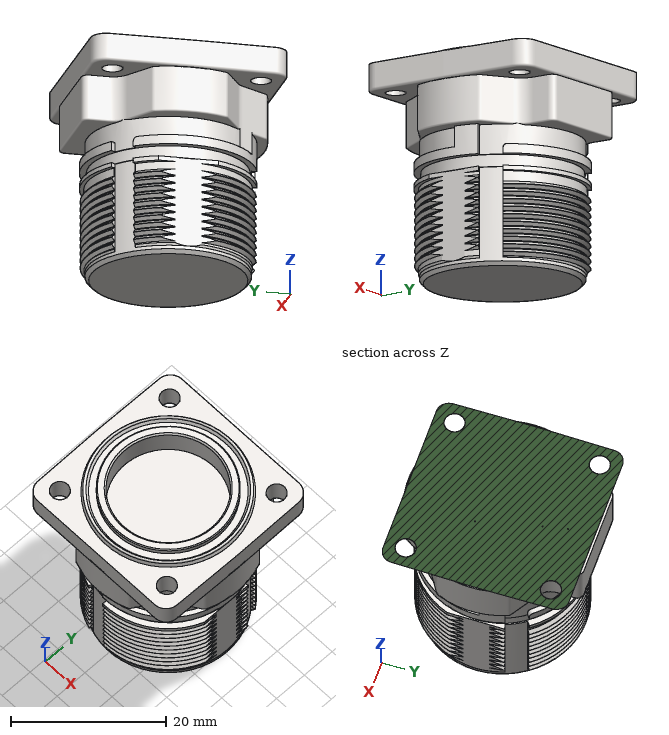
import cadquery as cq
import math

CORE_CHAMFER = 0.5
SLEEVE_BOTTOM = 0.97
THREAD_START = 1.73
COLLAR_BOTTOM = 12.4
COLLAR_TOP = 13.0
RING_BOTTOM = 14.65
RING_TOP = 15.88
BODY_BOTTOM = 18.6
FLANGE_BOTTOM = 24.75
FLANGE_TOP = 28.43
BEAD_TOP = 29.15
OVERALL_HEIGHT = 29.4
BORE_FLOOR = 25.5

CORE_RADIUS = 10.75
GROOVE_RADIUS = 10.58
THREAD_ROOT_RADIUS = 10.9
THREAD_CREST_RADIUS = 11.38
RING_RADIUS = 11.47
BODY_RADIUS = 12.85
BORE_RADIUS = 8.03
BORE_CHAMFER = 0.24

PITCH = 1.0
CREST_FLAT = 0.05
THREAD_START_ANGLE = 90.0
THREAD_TURNS = 10
SLEEVE_CHAMFER_HEIGHT = 0.32
RIDGE_HALF_WIDTH = 0.49 * PITCH
RIDGE_SINK = 0.05

FLANGE_SIZE = 26.0
FLANGE_TAPER = 0.15
FLANGE_CORNER = 2.05
FLANGE_EDGE_ROUND = 0.35
HOLE_SPACING = 19.75
HOLE_DIAMETER = 2.7

NOTCH_TILT = 13.0
NOTCH_ANGLES = (225.0, 315.0)
NOTCH_VERTEX_ROUND = 2.2
NOTCH_RIM_ROUND = 0.74
BODY_EDGE_ROUND = 0.24

LUG_HALF_WIDTH = 6.67
LUG_CORNER_ROUND = 0.88
LUG_NOTCH_ROUND = 2.53
LUG_TRIM = 0.88

BEAD_BASE_RADIUS = 11.25
BEAD_CREST_RADIUS = 10.82
BEAD_ROUND = 0.2
BEAD_INNER_RADIUS = 10.3
RECESS_FLOOR = 28.55
LIP_RADIUS = 9.3
LIP_CHAMFER = 0.15

FULL_TURN = 360.0
SLOTS = [(20.0, 36.0), (126.3, 142.8), (252.0, 268.1)]
STOPS = [(225.0, 252.0), (3.0, 20.0)]
RING_END_ROUND = 0.6

REACH = 20.58


def cylinder(radius, bottom, top):
    return cq.Workplane("XY").workplane(offset=bottom).circle(radius).extrude(top - bottom)


def tube(outer, inner, bottom, top):
    return cylinder(outer, bottom, top).cut(cylinder(inner, bottom, top))


def wedge(start, end, bottom, top):
    """Pie slice about Z between two angles."""
    points = [(0, 0)]
    for angle in (start, end):
        turn = math.radians(angle)
        points.append((REACH * math.cos(turn), REACH * math.sin(turn)))
    return cq.Workplane("XY").workplane(offset=bottom).polyline(points).close().extrude(top - bottom)


def corner_notch(angle):
    """Shallow V prism whose rounded vertex touches the core."""
    rise = REACH * math.tan(math.radians(NOTCH_TILT))
    vee = (
        cq.Workplane("XY")
        .workplane(offset=RING_TOP)
        .polyline([
            (CORE_RADIUS, 0),
            (CORE_RADIUS + rise, REACH),
            (CORE_RADIUS + REACH, REACH),
            (CORE_RADIUS + REACH, -REACH),
            (CORE_RADIUS + rise, -REACH),
        ])
        .close()
        .extrude(FLANGE_BOTTOM - RING_TOP)
        .edges("|Z and <X")
        .fillet(NOTCH_VERTEX_ROUND)
    )
    return vee.rotate((0, 0, 0), (0, 0, 1), angle)


def lug_notch():
    """Notch on the +X side of the lug: a face like those of the V notches, then the side of the lug."""
    slope = math.tan(math.radians(45 - NOTCH_TILT))
    touch = CORE_RADIUS / math.sqrt(2)
    vertex_y = touch + (touch - LUG_HALF_WIDTH) * slope
    return (
        cq.Workplane("XY")
        .workplane(offset=BODY_BOTTOM)
        .polyline([
            (LUG_HALF_WIDTH, vertex_y),
            (LUG_HALF_WIDTH + REACH, vertex_y - REACH * slope),
            (LUG_HALF_WIDTH + REACH, REACH),
            (LUG_HALF_WIDTH, REACH),
        ])
        .close()
        .extrude(FLANGE_BOTTOM - BODY_BOTTOM)
        .edges("|Z")
        .edges(cq.selectors.NearestToPointSelector((LUG_HALF_WIDTH, vertex_y, BODY_BOTTOM)))
        .fillet(LUG_NOTCH_ROUND)
    )


def make_core():
    core = cylinder(CORE_RADIUS, 0, FLANGE_BOTTOM).faces("<Z").chamfer(CORE_CHAMFER)
    return core.cut(tube(REACH, GROOVE_RADIUS, COLLAR_TOP, RING_BOTTOM))


def thread_ridge(start, end):
    """Thread ridge between two angles, starting at height zero and sunk into the root cylinder."""
    inner = THREAD_ROOT_RADIUS - RIDGE_SINK
    path = cq.Wire.makeHelix(PITCH, PITCH * (end - start) / FULL_TURN, inner)
    profile = (
        cq.Workplane("XZ")
        .polyline([
            (inner, -RIDGE_HALF_WIDTH),
            (THREAD_CREST_RADIUS, -CREST_FLAT / 2),
            (THREAD_CREST_RADIUS, CREST_FLAT / 2),
            (inner, RIDGE_HALF_WIDTH),
        ])
        .close()
    )
    return profile.sweep(cq.Workplane(path), isFrenet=True).rotate((0, 0, 0), (0, 0, 1), start)


def sleeve_sector(start, end):
    """Threaded stretch of the sleeve from one slot to the next, with the X sides cut flat."""
    flats = cq.Workplane("XY").box(2 * CORE_RADIUS, 2 * REACH, 2 * OVERALL_HEIGHT)
    envelope = flats.intersect(wedge(start, end, SLEEVE_BOTTOM, COLLAR_TOP))
    sleeve = (
        cylinder(THREAD_ROOT_RADIUS, SLEEVE_BOTTOM, COLLAR_TOP)
        .faces("<Z")
        .chamfer(SLEEVE_CHAMFER_HEIGHT, THREAD_ROOT_RADIUS - CORE_RADIUS)
        .union(cylinder(RING_RADIUS, COLLAR_BOTTOM, COLLAR_TOP))
        .cut(cylinder(GROOVE_RADIUS, SLEEVE_BOTTOM, COLLAR_TOP))
        .intersect(envelope)
    )
    rise = PITCH * (start - THREAD_START_ANGLE) / FULL_TURN
    ridge = thread_ridge(start, end).intersect(flats)
    ridges = [ridge.translate((0, 0, THREAD_START + rise + PITCH * i)).val() for i in range(THREAD_TURNS)]
    return cq.Workplane(sleeve.val().fuse(*ridges))


def make_locking_ring():
    """Bayonet ring: each stretch starts with a rounded end, and some finish against a tall stop."""
    middle = (GROOVE_RADIUS + RING_RADIUS) / 2
    ring = tube(RING_RADIUS, GROOVE_RADIUS, RING_BOTTOM, RING_TOP)
    for slot_start, slot_end in SLOTS:
        ring = ring.cut(wedge(slot_start, slot_end, RING_BOTTOM, RING_TOP))
        turn = math.radians(slot_end)
        start_edge = (middle * math.cos(turn), middle * math.sin(turn), RING_TOP)
        ring = ring.edges(cq.selectors.NearestToPointSelector(start_edge)).fillet(RING_END_ROUND)
    stop_top = BODY_BOTTOM + BODY_EDGE_ROUND
    post = tube(RING_RADIUS, GROOVE_RADIUS, RING_BOTTOM, stop_top)
    for start, end in STOPS:
        ring = ring.union(post.intersect(wedge(start, end, RING_BOTTOM, stop_top)))
    return ring.cut(corner_notch(NOTCH_ANGLES[0]))


def on_rim(edge):
    """True for the upright edges where a notch meets the outside of the body."""
    center = edge.Center()
    return math.isclose(math.hypot(center.x, center.y), BODY_RADIUS, abs_tol=0.003)


def make_body():
    height = FLANGE_BOTTOM - BODY_BOTTOM
    lug = (
        cq.Workplane("XY")
        .box(2 * (LUG_HALF_WIDTH + LUG_TRIM), FLANGE_SIZE / 2, height, centered=(True, False, False))
        .translate((0, 0, BODY_BOTTOM))
    )
    body = cylinder(BODY_RADIUS, BODY_BOTTOM, FLANGE_BOTTOM).rotate((0, 0, 0), (0, 0, 1), 45)
    body = body.union(lug)
    for angle in NOTCH_ANGLES:
        body = body.cut(corner_notch(angle))
    body = body.cut(lug_notch()).cut(lug_notch().mirror("YZ"))
    body = body.edges("|Z").filter(on_rim).fillet(NOTCH_RIM_ROUND)
    body = body.edges("|Z and >Y").fillet(LUG_CORNER_ROUND)
    return body.faces("<Z").edges().fillet(BODY_EDGE_ROUND)


def make_flange():
    half = FLANGE_SIZE / 2
    thickness = FLANGE_TOP - FLANGE_BOTTOM
    plate = (
        cq.Workplane("XY")
        .workplane(offset=FLANGE_BOTTOM)
        .polyline([
            (half, 0),
            (half - FLANGE_TAPER, half),
            (FLANGE_TAPER - half, half),
            (-half, 0),
            (FLANGE_TAPER - half, -half),
            (half - FLANGE_TAPER, -half),
        ])
        .close()
        .extrude(thickness)
        .edges("|Z and (>Y or <Y)")
        .fillet(FLANGE_CORNER)
        .faces("<Z")
        .edges()
        .fillet(FLANGE_EDGE_ROUND)
    )
    holes = (
        cq.Workplane("XY")
        .workplane(offset=FLANGE_BOTTOM)
        .rect(HOLE_SPACING, HOLE_SPACING, forConstruction=True)
        .vertices()
        .circle(HOLE_DIAMETER / 2)
        .extrude(thickness)
    )
    return plate.cut(holes)


def make_top():
    """Rounded bead, recess and raised lip turned about Z."""
    return (
        cq.Workplane("XZ")
        .moveTo(0, FLANGE_TOP)
        .lineTo(BEAD_BASE_RADIUS, FLANGE_TOP)
        .lineTo(BEAD_CREST_RADIUS + BEAD_ROUND, BEAD_TOP - BEAD_ROUND)
        .threePointArc((BEAD_CREST_RADIUS, BEAD_TOP), (BEAD_CREST_RADIUS - BEAD_ROUND, BEAD_TOP - BEAD_ROUND))
        .lineTo(BEAD_INNER_RADIUS, RECESS_FLOOR)
        .lineTo(LIP_RADIUS, RECESS_FLOOR)
        .lineTo(LIP_RADIUS, OVERALL_HEIGHT - LIP_CHAMFER)
        .lineTo(LIP_RADIUS - LIP_CHAMFER, OVERALL_HEIGHT)
        .lineTo(0, OVERALL_HEIGHT)
        .close()
        .revolve(FULL_TURN, (0, 0, 0), (0, 1, 0))
    )


def make_bore():
    """Flat-bottomed bore with a chamfered mouth."""
    return (
        cq.Workplane("XZ")
        .polyline([
            (0, BORE_FLOOR),
            (BORE_RADIUS, BORE_FLOOR),
            (BORE_RADIUS, OVERALL_HEIGHT - BORE_CHAMFER),
            (BORE_RADIUS + BORE_CHAMFER, OVERALL_HEIGHT),
            (0, OVERALL_HEIGHT),
        ])
        .close()
        .revolve(FULL_TURN, (0, 0, 0), (0, 1, 0))
    )


result = (
    make_core()
    .union(make_locking_ring())
    .union(make_body())
    .union(make_flange())
    .union(make_top())
    .cut(make_bore())
)
next_starts = [start for start, _ in SLOTS[1:]] + [SLOTS[0][0] + FULL_TURN]
for (_, slot_end), next_start in zip(SLOTS, next_starts):
    result = result.union(sleeve_sector(slot_end, next_start))